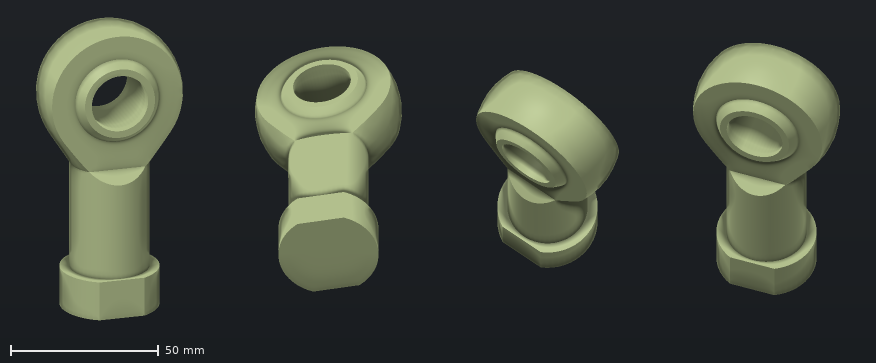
import cadquery as cq
import math

total_height = 101.8
head_radius = 24.9
head_width = 18.7
ball_radius = 17.6
ball_width = 25.0
bore_radius = 10.0
shank_radius = 13.6
shank_top = 51.9
collar_radius = 17.0
collar_height = 13.7
collar_flat_width = 30.0

eye_height = total_height - head_radius


def slab(width, bottom, top):
    """Block centred on the rod axis, limited in X and generous in Y."""
    depth = 4 * head_radius
    return cq.Workplane("XY").workplane(offset=bottom).rect(width, depth).extrude(top - bottom)


def make_head():
    """Spherical head with a tangent cone down to the shank, cut flat on both X sides."""
    drop = eye_height - shank_top
    edge_distance = math.hypot(shank_radius, drop)
    edge_angle = math.atan2(-drop, shank_radius)
    tangent_angle = edge_angle + math.acos(head_radius / edge_distance)
    tangent_r = head_radius * math.cos(tangent_angle)
    tangent_z = eye_height + head_radius * math.sin(tangent_angle)
    body = (
        cq.Workplane("XZ")
        .moveTo(0, shank_top)
        .lineTo(shank_radius, shank_top)
        .lineTo(tangent_r, tangent_z)
        .threePointArc((head_radius, eye_height), (0, total_height))
        .close()
        .revolve(360, (0, 0, 0), (0, 1, 0))
    )
    return body.intersect(slab(head_width, shank_top, total_height))


def make_shank():
    """Round shank with a 45 degree flat running up to each side of the head."""
    half_head = head_width / 2
    shoulder_z = shank_top - (shank_radius - half_head)
    outline = (
        cq.Workplane("XZ")
        .polyline([
            (-shank_radius, 0),
            (shank_radius, 0),
            (shank_radius, shoulder_z),
            (half_head, shank_top),
            (-half_head, shank_top),
            (-shank_radius, shoulder_z),
        ])
        .close()
        .extrude(shank_radius, both=True)
    )
    return cq.Workplane("XY").circle(shank_radius).extrude(shank_top).intersect(outline)


def make_collar():
    """Round collar with two wrench flats."""
    collar = cq.Workplane("XY").circle(collar_radius).extrude(collar_height)
    return collar.intersect(slab(collar_flat_width, 0, collar_height))


def make_ball():
    """Bored ball, revolved about the eye axis, with end faces standing out from the head."""
    half_width = ball_width / 2
    end_radius = math.sqrt(ball_radius**2 - half_width**2)
    return (
        cq.Workplane("XZ", origin=(0, 0, eye_height))
        .moveTo(-half_width, bore_radius)
        .lineTo(-half_width, end_radius)
        .threePointArc((0, ball_radius), (half_width, end_radius))
        .lineTo(half_width, bore_radius)
        .close()
        .revolve(360, (0, 0, 0), (1, 0, 0))
    )


def make_bore():
    """Through bore along the eye axis."""
    bore = cq.Workplane("YZ").center(0, eye_height).circle(bore_radius)
    return bore.extrude(head_width, both=True)


head = make_head().cut(make_bore()).union(make_ball())
result = make_collar().union(make_shank()).union(head)